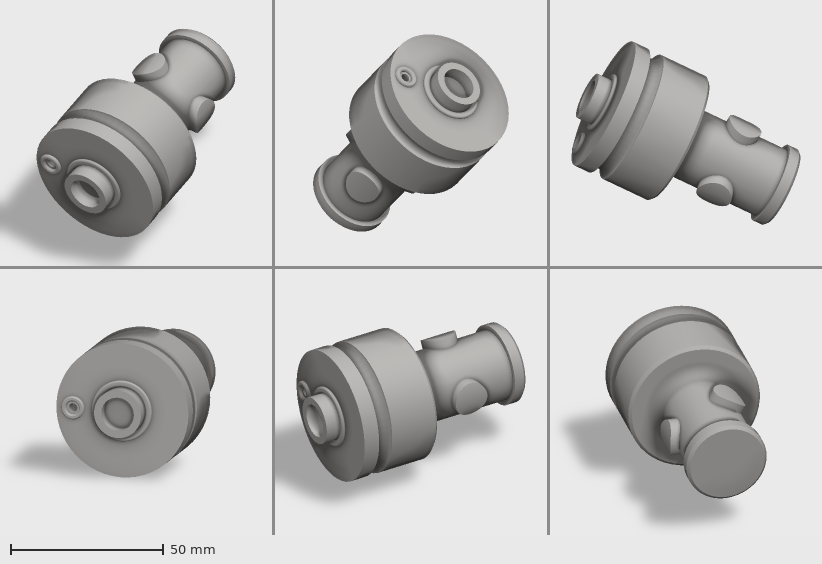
import cadquery as cq
import math

total_length = 72.5
nose_length = 6.0
body_length = 28.0
rear_y = total_length - nose_length

body_radius = 45.0 / 2
shank_radius = 24.0 / 2
collar_radius = 27.4 / 2
collar_length = 4.5
edge_chamfer = 1.0
shank_fillet = 4.0

groove_radius = 2.5
groove_center_y = 8.0

nose_radius = 16.0 / 2
nose_bore_radius = 11.1 / 2
nose_bore_depth = 5.0

nose_seal_outer_radius = 10.2
nose_seal_height = 1.3
nose_seal_round = nose_seal_height / 2

port_x = -16.8
port_bore_radius = 1.45
port_bore_depth = 5.0
port_seal_mean_radius = 3.05
port_seal_section_radius = 0.9
port_seal_center_height = 0.3
port_seal_height = 1.1

pin_radius = 6.1 / 2
pin_spacing = 22.6
pin_length = 5.0

lug_count = 3
lug_radius = 5.95
lug_y = 44.9
lug_tip_radius = 14.9


def cylinder(x, z, y_start, y_end, radius):
    """Solid cylinder parallel to Y between two Y positions."""
    disc = cq.Workplane("XZ", origin=(x, y_start, z)).circle(radius)
    return disc.extrude(y_start - y_end)


def turned_body():
    """Nose, grooved body, shank and rear collar as one revolved outline."""
    arc_mid = math.sqrt(0.5) * shank_fillet
    fillet_radius = shank_radius + shank_fillet
    fillet_end_y = body_length + shank_fillet
    outline = (
        cq.Workplane("XY")
        .moveTo(0, -nose_length)
        .lineTo(nose_radius, -nose_length)
        .lineTo(nose_radius, 0)
        .lineTo(body_radius, 0)
        .lineTo(body_radius, groove_center_y - groove_radius)
        .threePointArc(
            (body_radius - groove_radius, groove_center_y),
            (body_radius, groove_center_y + groove_radius),
        )
        .lineTo(body_radius, body_length - edge_chamfer)
        .lineTo(body_radius - edge_chamfer, body_length)
        .lineTo(fillet_radius, body_length)
        .threePointArc(
            (fillet_radius - arc_mid, fillet_end_y - arc_mid),
            (shank_radius, fillet_end_y),
        )
        .lineTo(shank_radius, rear_y - collar_length)
        .lineTo(collar_radius, rear_y - collar_length)
        .lineTo(collar_radius, rear_y - edge_chamfer)
        .lineTo(collar_radius - edge_chamfer, rear_y)
        .lineTo(0, rear_y)
        .close()
    )
    return outline.revolve(360, (0, 0, 0), (0, 1, 0))


def nose_seal():
    """Ring hugging the nose: a half-round rim and a rounded inner front edge."""
    rim_center_radius = nose_seal_outer_radius - nose_seal_round
    inner_center_radius = nose_radius + nose_seal_round
    round_mid = math.sqrt(0.5) * nose_seal_round
    profile = (
        cq.Workplane("XY")
        .moveTo(nose_radius, 0)
        .lineTo(rim_center_radius, 0)
        .threePointArc(
            (rim_center_radius + round_mid, round_mid - nose_seal_round),
            (nose_seal_outer_radius, -nose_seal_round),
        )
        .threePointArc(
            (rim_center_radius + round_mid, -nose_seal_round - round_mid),
            (rim_center_radius, -nose_seal_height),
        )
        .lineTo(inner_center_radius, -nose_seal_height)
        .threePointArc(
            (inner_center_radius - round_mid, -nose_seal_round - round_mid),
            (nose_radius, -nose_seal_round),
        )
        .close()
    )
    return profile.revolve(360, (0, 0, 0), (0, 1, 0))


def port_seal():
    """Ring of round section, sunk into the front face and cut flat in front."""
    ring = (
        cq.Workplane("XY", origin=(port_x, 0, 0))
        .center(port_seal_mean_radius, -port_seal_center_height)
        .circle(port_seal_section_radius)
        .revolve(360, (-port_seal_mean_radius, 0, 0), (-port_seal_mean_radius, 1, 0))
    )
    reach = port_seal_mean_radius + port_seal_section_radius
    return ring.intersect(cylinder(port_x, 0, -port_seal_height, port_seal_section_radius, reach))


def bayonet_lugs():
    """Round radial lugs around the shank, ending on a common cylinder."""
    lugs = cq.Workplane("XY")
    for index in range(lug_count):
        lug = cq.Workplane("YZ").center(lug_y, 0).circle(lug_radius).extrude(lug_tip_radius)
        lugs = lugs.add(lug.rotate((0, 0, 0), (0, 1, 0), index * 360 / lug_count))
    envelope = cylinder(0, 0, lug_y - lug_radius, lug_y + lug_radius, lug_tip_radius)
    return lugs.combine().intersect(envelope)


result = turned_body().union(bayonet_lugs())
result = result.union(nose_seal()).union(port_seal())
result = result.cut(cylinder(0, 0, -nose_length, nose_bore_depth - nose_length, nose_bore_radius))
result = result.cut(cylinder(port_x, 0, 0, port_bore_depth, port_bore_radius))

for x_side in (-1, 1):
    for z_side in (-1, 1):
        pin = cylinder(x_side * pin_spacing / 2, z_side * pin_spacing / 2, 0, pin_length, pin_radius)
        result = result.union(pin, clean=False)